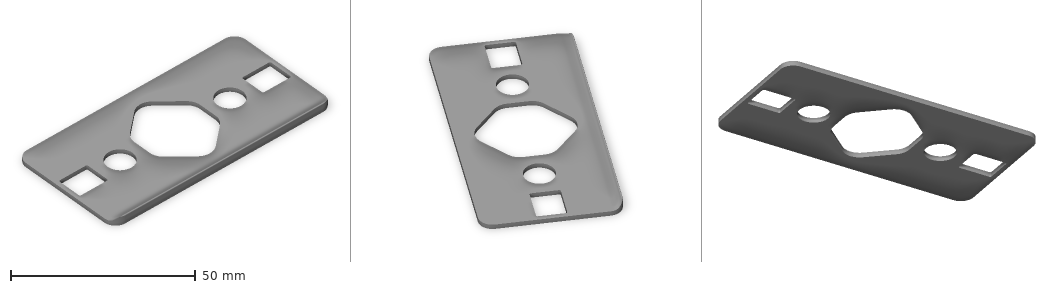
import cadquery as cq
import math

length = 80.0
width = 40.0
total_height = 3.0
thickness = total_height / 2
corner_radius = 4.0

lip_width = 3.0
lip_tip_radius = 0.2

hole_diameter = 9.0
hole_offset = 20.0
window_width = 8.6
window_length = 10.3
window_offset = 33.4
window_corner_radius = 0.5
hexagon_tip_x = 15.8
hexagon_flat_half_width = 5.4
hexagon_half_height = 12.0
hexagon_corner_radius = 5.0


def make_blank():
    """Plate profile with a concave-faced lip, extruded along Y, with rounded plan corners."""
    edge_x = width / 2
    lip_start_x = edge_x - lip_width
    tip_center_x = edge_x - lip_tip_radius
    tip_center_z = total_height - lip_tip_radius

    run = tip_center_x - lip_start_x
    rise = tip_center_z - thickness
    arc_radius = (run**2 + rise**2 - lip_tip_radius**2) / (2 * (rise + lip_tip_radius))
    sweep = math.asin(run / (arc_radius + lip_tip_radius))

    def point_on_arc(angle):
        return (
            lip_start_x + arc_radius * math.sin(angle),
            thickness + arc_radius * (1 - math.cos(angle)),
        )

    tip_middle_angle = (math.pi / 2 + sweep) / 2
    tip_middle = (
        tip_center_x + lip_tip_radius * math.cos(tip_middle_angle),
        tip_center_z + lip_tip_radius * math.sin(tip_middle_angle),
    )

    profile = (
        cq.Workplane("XZ")
        .moveTo(-edge_x, 0)
        .lineTo(edge_x, 0)
        .lineTo(edge_x, tip_center_z)
        .threePointArc(tip_middle, point_on_arc(sweep))
        .threePointArc(point_on_arc(sweep / 2), (lip_start_x, thickness))
        .lineTo(-edge_x, thickness)
        .close()
        .extrude(length / 2, both=True)
    )
    outline = (
        cq.Workplane("XY")
        .rect(width, length)
        .extrude(total_height)
        .edges("|Z")
        .fillet(corner_radius)
    )
    return profile.intersect(outline)


def make_hexagon_cutter():
    """Central six-sided opening with rounded corners."""
    corners = [
        (hexagon_tip_x, 0),
        (hexagon_flat_half_width, hexagon_half_height),
        (-hexagon_flat_half_width, hexagon_half_height),
        (-hexagon_tip_x, 0),
        (-hexagon_flat_half_width, -hexagon_half_height),
        (hexagon_flat_half_width, -hexagon_half_height),
    ]
    prism = cq.Workplane("XY").polyline(corners).close().extrude(total_height)
    return prism.edges("|Z").fillet(hexagon_corner_radius)


def make_hole_cutters():
    """Two round holes, one on each side of the central opening."""
    centers = [(0, -hole_offset), (0, hole_offset)]
    return cq.Workplane("XY").pushPoints(centers).circle(hole_diameter / 2).extrude(total_height)


def make_window_cutters():
    """Two rounded rectangular windows near the plate's ends."""
    centers = [(0, -window_offset), (0, window_offset)]
    windows = cq.Workplane("XY").pushPoints(centers).rect(window_width, window_length)
    return windows.extrude(total_height).edges("|Z").fillet(window_corner_radius)


result = (
    make_blank()
    .cut(make_hexagon_cutter())
    .cut(make_hole_cutters())
    .cut(make_window_cutters())
)